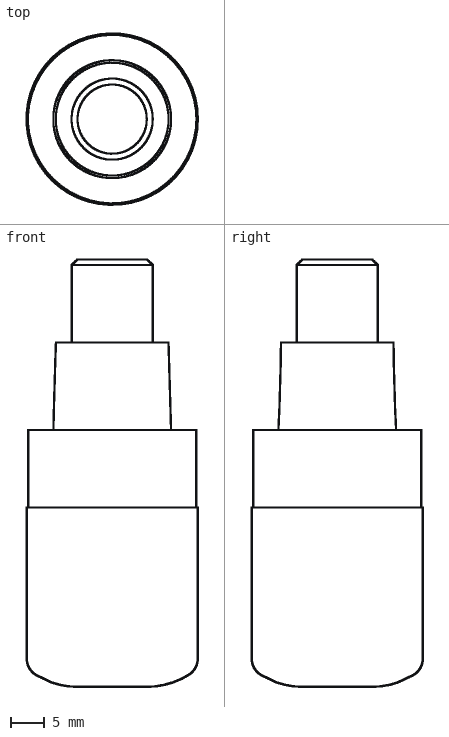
import cadquery as cq
import math

total_height = 63.35
collar_top = 38.1
taper_top = 51.05
sleeve_top = 26.6
straight_start = 4.25

sleeve_radius = 12.7
collar_radius = 12.5
taper_base_radius = 8.75
taper_top_radius = 8.35
stud_radius = 6.0

chamfer_width = 0.9
chamfer_height = 0.8

edge_arc_radius = 2.9
joint_slope = math.radians(32)
joint_radius = sleeve_radius - edge_arc_radius * (1 - math.sin(joint_slope))
joint_height = straight_start - edge_arc_radius * math.cos(joint_slope)
underside_radius = joint_radius - joint_height / math.tan(joint_slope / 2)


def make_sleeve():
    """Lower cylinder with a two-arc rounded edge and a flat underside."""
    profile = (
        cq.Workplane("XZ")
        .moveTo(0, sleeve_top)
        .lineTo(sleeve_radius, sleeve_top)
        .lineTo(sleeve_radius, straight_start)
        .tangentArcPoint((joint_radius, joint_height), relative=False)
        .tangentArcPoint((underside_radius, 0), relative=False)
        .lineTo(0, 0)
        .close()
    )
    return profile.revolve(360, (0, 0, 0), (0, 1, 0))


def make_plunger():
    """Collar, tapered neck and chamfered stud, standing on the sleeve."""
    profile = (
        cq.Workplane("XZ")
        .moveTo(0, sleeve_top)
        .lineTo(collar_radius, sleeve_top)
        .lineTo(collar_radius, collar_top)
        .lineTo(taper_base_radius, collar_top)
        .lineTo(taper_top_radius, taper_top)
        .lineTo(stud_radius, taper_top)
        .lineTo(stud_radius, total_height - chamfer_height)
        .lineTo(stud_radius - chamfer_width, total_height)
        .lineTo(0, total_height)
        .close()
    )
    return profile.revolve(360, (0, 0, 0), (0, 1, 0))


sleeve = make_sleeve()
plunger = make_plunger()
result = cq.Compound.makeCompound([sleeve.val(), plunger.val()])